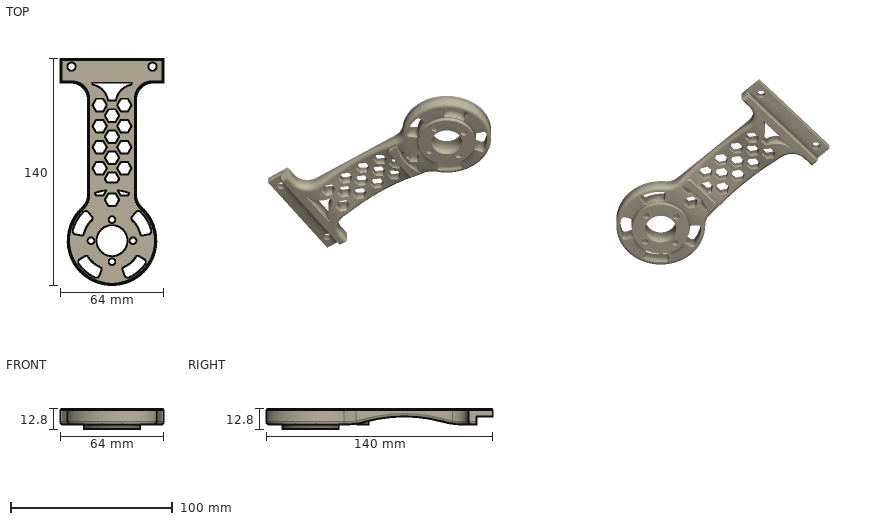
import cadquery as cq
import math

thickness = 10.0
top_chamfer = 1.0
bottom_fillet = 2.0

hub_radius = 27.5
boss_diameter = 35.0
boss_height = 2.75
bore_diameter = 19.0
screw_diameter = 4.0
screw_count = 4
screw_circle_radius = 13.0

slot_inner_radius = 18.0
slot_outer_radius = 25.0
slot_sweep = 40.0
slot_inner_corner_radius = 1.0
slot_outer_corner_radius = 2.0
slot_angles = (30.0, 150.0, 230.0, 310.0)

arm_half_width = 15.0
blend_radius = 10.0
head_half_width = 32.0
head_end_y = 112.5
head_depth = 15.0
head_start_y = head_end_y - head_depth
head_blend_center_y = head_start_y - blend_radius
blend_center_x = arm_half_width + blend_radius
hub_blend_center_y = math.sqrt((hub_radius + blend_radius) ** 2 - blend_center_x ** 2)

step_depth = 10.0
step_height = 5.0
mount_hole_diameter = 5.0
mount_hole_x = 25.0
mount_hole_y = head_end_y - step_depth / 2

arch_center_y = (hub_blend_center_y + head_blend_center_y) / 2
arch_rise = 5.0
arch_radius = 90.0
arch_runout_radius = 50.0

hex_across_flats = 7.6
hex_sides = 6
hex_diameter = hex_across_flats / math.cos(math.pi / hex_sides)
hex_pitch = 13.0
hex_column_x = 7.6
hex_middle_y = arch_center_y
hex_rows = range(-2, 3)

rib_inner_radius = 31.25
rib_end_y = 36.0
rib_half_width = 13.0
rib_corner_radius = 2.5
rib_edge_fillet = 0.5

window_top_y = head_start_y
window_half_width = 12.1
window_side_y = 96.5
window_mid_point = (5.65, 93.0)
window_bottom_half_width = 2.3
window_bottom_y = 86.6

overcut = 1.0
tolerance = 0.01


def body_outline():
    """Half outline on the +X side, mirrored: hub, arm and head with blended corners."""
    tangent_scale = hub_radius / (hub_radius + blend_radius)
    hub_tangent = (blend_center_x * tangent_scale, hub_blend_center_y * tangent_scale)
    blend_angle = math.atan2(hub_blend_center_y, blend_center_x) / 2
    hub_blend_mid = (
        blend_center_x - blend_radius * math.cos(blend_angle),
        hub_blend_center_y - blend_radius * math.sin(blend_angle),
    )
    diagonal = blend_radius * math.sqrt(0.5)
    return (
        cq.Workplane("XY")
        .moveTo(0, -hub_radius)
        .threePointArc((hub_radius, 0), hub_tangent)
        .threePointArc(hub_blend_mid, (arm_half_width, hub_blend_center_y))
        .lineTo(arm_half_width, head_blend_center_y)
        .threePointArc(
            (blend_center_x - diagonal, head_blend_center_y + diagonal),
            (blend_center_x, head_start_y),
        )
        .lineTo(head_half_width, head_start_y)
        .lineTo(head_half_width, head_end_y)
        .lineTo(0, head_end_y)
        .mirrorY()
    )


def arch_relief():
    """Shallow arch under the arm that runs out tangentially into the flat underside."""
    center_distance = arch_radius + arch_runout_radius
    half_span = math.sqrt(center_distance**2 - (center_distance - arch_rise) ** 2)
    slope = math.asin(half_span / center_distance)
    arch_center_z = arch_rise - arch_radius
    tangent_y = arch_radius * math.sin(slope)
    tangent_z = arch_center_z + arch_radius * math.cos(slope)
    runout_mid_y = half_span - arch_runout_radius * math.sin(slope / 2)
    runout_mid_z = arch_runout_radius * (1 - math.cos(slope / 2))
    return (
        cq.Workplane("YZ", origin=(0, arch_center_y, 0))
        .moveTo(-half_span, 0)
        .threePointArc((-runout_mid_y, runout_mid_z), (-tangent_y, tangent_z))
        .threePointArc((0, arch_rise), (tangent_y, tangent_z))
        .threePointArc((runout_mid_y, runout_mid_z), (half_span, 0))
        .close()
        .extrude(head_half_width, both=True)
    )


def is_lower_rim(edge):
    """True for the lower edges along the outline, except the rear edge of the head."""
    box = edge.BoundingBox()
    is_low = box.zmax < arch_rise + tolerance
    crosses_arm = abs(box.center.x) < tolerance
    is_rear = box.ymin > head_end_y - tolerance
    return is_low and not crosses_arm and not is_rear


def head_step():
    """Notch below the rear of the head, across its full width."""
    step_y = head_end_y - step_depth
    return cq.Workplane("XY", origin=(0, step_y, 0)).box(
        2 * head_half_width, step_depth, step_height, centered=(True, False, False)
    )


def cutter_plane():
    """Sketch plane just below the boss, from which all through cutters rise."""
    return cq.Workplane("XY", origin=(0, 0, -boss_height - overcut))


def vertical_cutter(sketch):
    """Extrude a sketch on the cutter plane through the whole part."""
    return sketch.extrude(thickness + boss_height + 2 * overcut)


def rib():
    """Bar across the arm between a straight edge and an arc around the hub."""
    bar = cq.Workplane("XY").box(
        2 * rib_half_width, rib_end_y, thickness, centered=(True, False, False)
    )
    bar = bar.edges("|Z and >Y").fillet(rib_corner_radius)
    bar = bar.cut(cq.Workplane("XY").circle(rib_inner_radius).extrude(thickness))
    return bar.faces("<Z").edges().fillet(rib_edge_fillet)


def honeycomb():
    """Hexagonal cells between the head window and the hub, interrupted by the rib."""
    points = []
    for row in hex_rows:
        side_y = hex_middle_y + row * hex_pitch
        points += [(-hex_column_x, side_y), (hex_column_x, side_y)]
        points.append((0, side_y - hex_pitch / 2))
    cells = vertical_cutter(cutter_plane().pushPoints(points).polygon(hex_sides, hex_diameter))
    solid_band = vertical_cutter(cutter_plane().rect(2 * rib_half_width, 2 * rib_end_y))
    solid_band = solid_band.cut(vertical_cutter(cutter_plane().circle(rib_inner_radius)))
    return cells.cut(solid_band)


def window():
    """Opening at the head end, narrowing along two arcs to a short flat edge."""
    left_mid = (-window_mid_point[0], window_mid_point[1])
    return vertical_cutter(
        cutter_plane()
        .moveTo(-window_half_width, window_top_y)
        .lineTo(window_half_width, window_top_y)
        .lineTo(window_half_width, window_side_y)
        .threePointArc(window_mid_point, (window_bottom_half_width, window_bottom_y))
        .lineTo(-window_bottom_half_width, window_bottom_y)
        .threePointArc(left_mid, (-window_half_width, window_side_y))
        .close()
    )


def vent_slot(angle):
    """Annular slot with rounded corners, centred on the given angle in degrees."""
    half_sweep = math.radians(slot_sweep / 2)

    def polar(radius, direction):
        return (radius * math.cos(direction), radius * math.sin(direction))

    slot = vertical_cutter(
        cutter_plane()
        .moveTo(*polar(slot_inner_radius, -half_sweep))
        .lineTo(*polar(slot_outer_radius, -half_sweep))
        .threePointArc((slot_outer_radius, 0), polar(slot_outer_radius, half_sweep))
        .lineTo(*polar(slot_inner_radius, half_sweep))
        .threePointArc((slot_inner_radius, 0), polar(slot_inner_radius, -half_sweep))
        .close()
    )
    slot = slot.edges("|Z").edges(">X").fillet(slot_outer_corner_radius)
    slot = slot.edges("|Z").edges("<X").fillet(slot_inner_corner_radius)
    return slot.rotate((0, 0, 0), (0, 0, 1), angle)


def round_holes():
    """Hub bore, four motor screw holes and two mounting holes."""
    bore = vertical_cutter(cutter_plane().circle(bore_diameter / 2))
    screws = vertical_cutter(
        cutter_plane().polarArray(screw_circle_radius, 0, 360, screw_count).circle(screw_diameter / 2)
    )
    mounts = vertical_cutter(
        cutter_plane()
        .pushPoints([(-mount_hole_x, mount_hole_y), (mount_hole_x, mount_hole_y)])
        .circle(mount_hole_diameter / 2)
    )
    return bore.union(screws).union(mounts)


def boss():
    """Round spigot under the hub."""
    return cq.Workplane("XY").circle(boss_diameter / 2).extrude(-boss_height)


body = body_outline().extrude(thickness)
body = body.cut(arch_relief())
body = body.faces(">Z").edges().chamfer(top_chamfer)
body = body.edges().filter(is_lower_rim).fillet(bottom_fillet)
body = body.cut(head_step())
body = body.union(rib())
body = body.union(boss())
body = body.cut(honeycomb())
body = body.cut(window())
body = body.cut(round_holes())
for slot_angle in slot_angles:
    body = body.cut(vent_slot(slot_angle))

result = body